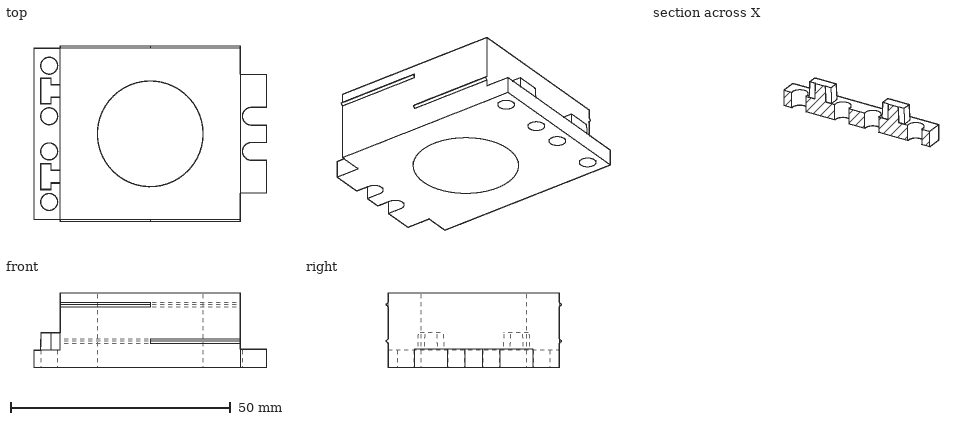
import cadquery as cq
import math

block_length = 41.0
block_width = 39.0
block_height = 17.0
bore_diameter = 24.0

flange_length = 6.0
hole_flange_height = 4.0
slot_flange_height = 4.2
slot_flange_width = 27.0

fastener_x = 23.0
hole_diameter = 3.8
slot_width = 4.0
inner_fastener_y = 4.0
outer_hole_y = 15.5

hook_y = (inner_fastener_y + outer_hole_y) / 2
hook_height = 4.0
hook_front_offset = 1.5
hook_head_length = 2.4
hook_head_width = 6.0
hook_stem_width = 3.0
hook_draft_angle = 2.0

rib_height = 1.0
rib_depth = 0.5
rib_low_z = 6.05
rib_high_z = 14.35

half_length = block_length / 2
flange_end_x = half_length + flange_length


def box_between(x_start, x_end, width, height):
    """Box resting on Z = 0, centred on Y."""
    return cq.Workplane("XY").box(
        x_end - x_start, width, height, centered=(False, True, False)
    ).translate((x_start, 0, 0))


def make_body():
    block = box_between(-half_length, half_length, block_width, block_height)
    hole_flange = box_between(-flange_end_x, -half_length, block_width, hole_flange_height)
    slot_flange = box_between(half_length, flange_end_x, slot_flange_width, slot_flange_height)
    return block.union(hole_flange).union(slot_flange)


def hook_outline(inset):
    """T outline; the front and side faces move in by the inset, the back of the head stays put."""
    front_x = -flange_end_x + hook_front_offset
    head_back_x = front_x + hook_head_length
    half_head = hook_head_width / 2 - inset
    half_stem = hook_stem_width / 2 - inset
    return [
        (front_x + inset, -half_head),
        (head_back_x, -half_head),
        (head_back_x, -half_stem),
        (-half_length, -half_stem),
        (-half_length, half_stem),
        (head_back_x, half_stem),
        (head_back_x, half_head),
        (front_x + inset, half_head),
    ]


def make_hook(y):
    top_inset = hook_height * math.tan(math.radians(hook_draft_angle))
    return (
        cq.Workplane("XY", origin=(0, y, hole_flange_height))
        .polyline(hook_outline(0)).close()
        .workplane(offset=hook_height)
        .polyline(hook_outline(top_inset)).close()
        .loft(ruled=True)
    )


def make_rib(x_start, z):
    """Rib on the -Y side, half a block long, centred on height z."""
    side_y = -block_width / 2
    return (
        cq.Workplane("YZ", origin=(x_start, 0, 0))
        .moveTo(side_y, z - rib_height / 2)
        .lineTo(side_y - rib_depth, z)
        .lineTo(side_y, z + rib_height / 2)
        .close()
        .extrude(half_length)
    )


def make_side_ribs():
    """High rib at -X and low rib at +X."""
    return make_rib(-half_length, rib_high_z), make_rib(0, rib_low_z)


def make_bore():
    return cq.Workplane("XY").circle(bore_diameter / 2).extrude(block_height)


def make_flange_holes():
    hole_centres = [
        (-fastener_x, side * y) for side in (-1, 1) for y in (inner_fastener_y, outer_hole_y)
    ]
    return (
        cq.Workplane("XY").pushPoints(hole_centres)
        .circle(hole_diameter / 2).extrude(hole_flange_height)
    )


def make_slot(y):
    """Round-bottomed slot opening through the end of the slot flange."""
    round_end = (
        cq.Workplane("XY").center(fastener_x, y)
        .circle(slot_width / 2).extrude(slot_flange_height)
    )
    straight = box_between(fastener_x, flange_end_x, slot_width, slot_flange_height)
    return round_end.union(straight.translate((0, y, 0)))


result = make_body()

for side in (-1, 1):
    result = result.union(make_hook(side * hook_y))

for turn in (0, 180):
    for rib in make_side_ribs():
        result = result.union(rib.rotate((0, 0, 0), (0, 0, 1), turn))

result = result.cut(make_bore()).cut(make_flange_holes())

for side in (-1, 1):
    result = result.cut(make_slot(side * inner_fastener_y))